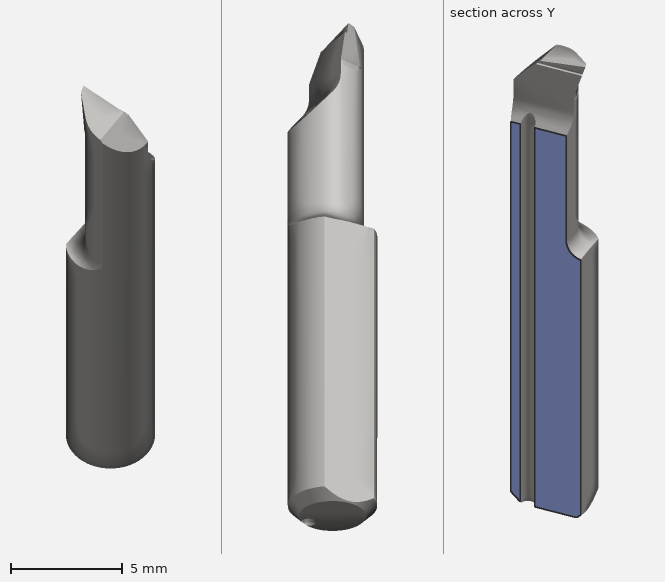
import cadquery as cq
import math

total_length = 24
shank_diameter = 4.0
shank_radius = shank_diameter / 2
flat_offset = 1.55
bottom_chamfer = 0.5

neck_radius = 1.8
neck_x = 0.82
shoulder_z = 14.0
shoulder_fillet = 0.82

bore_diameter = 0.7
bore_x = 1.05
bore_y = 0.65

face_y = 0.108
clearance_foot_z = 19.15
clearance_angle = math.radians(40)
clearance_radius = 1.55

tip_x = -1.5
rake_y = -0.012
rake_floor_z = 23.57
head_bottom_z = 22.4
groove_bottom_z = 22.1
flank_foot_x = -0.95
flank_relief = 0.25
side_angle = math.radians(45)
ridge_x = 0.75
ridge_z = 23.7
end_chamfer_z = 22.42
top_relief = 0.12

margin = 4.8


def make_shank():
    bar = cq.Workplane("XY").circle(shank_radius).extrude(total_length)
    bar = bar.faces("<Z").chamfer(bottom_chamfer)
    beyond_flat = cq.Workplane("XY").box(margin, 2 * margin, 2 * total_length)
    return bar.cut(beyond_flat.translate((-flat_offset - margin / 2, 0, 0)))


def make_head_envelope():
    """Neck with a filleted foot, plus a head wall tangent to it and reaching the tip."""
    neck_top = total_length + margin
    flare_radius = neck_radius + shoulder_fillet
    arc_offset = shoulder_fillet * (1 - math.sqrt(0.5))
    neck = (
        cq.Workplane("XZ")
        .moveTo(0, 0)
        .lineTo(margin, 0)
        .lineTo(margin, shoulder_z)
        .lineTo(flare_radius, shoulder_z)
        .threePointArc(
            (neck_radius + arc_offset, shoulder_z + arc_offset),
            (neck_radius, shoulder_z + shoulder_fillet),
        )
        .lineTo(neck_radius, neck_top)
        .lineTo(0, neck_top)
        .close()
        .revolve(360, (0, 0, 0), (0, 1, 0))
        .translate((neck_x, 0, 0))
    )
    tangent_x = neck_x - neck_radius * math.cos(side_angle)
    tangent_y = -neck_radius * math.sin(side_angle)
    wall_length = (face_y - tangent_y) / math.cos(side_angle)
    wall = (
        cq.Workplane("XY", origin=(0, 0, head_bottom_z))
        .moveTo(tangent_x, tangent_y)
        .lineTo(tangent_x - wall_length * math.sin(side_angle), face_y)
        .lineTo(neck_x, face_y)
        .lineTo(neck_x, tangent_y)
        .close()
        .extrude(neck_top - head_bottom_z)
    )
    return neck.union(wall)


def make_flank_cutter():
    """Leaning flank below the tip, with a shallow groove where it runs into the neck."""
    lean = (flank_foot_x - tip_x) / (total_length - head_bottom_z)
    above_tip = 0.48
    neck_side = neck_x - neck_radius
    profile = [
        (-margin, groove_bottom_z),
        (neck_side, groove_bottom_z),
        (flank_foot_x, head_bottom_z),
        (tip_x - lean * above_tip, total_length + above_tip),
        (-margin, total_length + above_tip),
    ]
    shift = flank_relief * margin
    run = cq.Vector(-2 * shift, 2 * margin, 0)
    corners = [cq.Vector(x + shift, -margin, z) for x, z in profile]
    outline = cq.Wire.makePolygon(corners, close=True)
    return cq.Workplane(obj=cq.Solid.extrudeLinear(outline, [], run))


def make_top_cutter():
    """Space above the two top facets, both falling away toward -Y."""
    outline = cq.Wire.makePolygon(
        [
            cq.Vector(x, margin, z + top_relief * (margin - rake_y))
            for x, z in (
                (tip_x, total_length),
                (ridge_x, ridge_z),
                (shank_radius, end_chamfer_z),
                (margin, end_chamfer_z - (margin - shank_radius)),
                (margin, total_length + margin),
                (-margin, total_length + margin),
                (-margin, total_length),
            )
        ],
        close=True,
    )
    run = cq.Vector(0, -2 * margin, -2 * top_relief * margin)
    return cq.Workplane(obj=cq.Solid.extrudeLinear(outline, [], run))


def make_chip_clearance():
    """Space behind the cutting face: a vertical wall, an arc and a sloping run-out."""
    arc_end_y = face_y + clearance_radius * (1 - math.cos(clearance_angle))
    arc_end_z = clearance_foot_z + (neck_radius - arc_end_y) / math.tan(clearance_angle)
    arc_start_z = arc_end_z + clearance_radius * math.sin(clearance_angle)
    arc_mid_y = face_y + clearance_radius * (1 - math.cos(clearance_angle / 2))
    arc_mid_z = arc_start_z - clearance_radius * math.sin(clearance_angle / 2)
    outer_z = clearance_foot_z - (margin - neck_radius) / math.tan(clearance_angle)
    return (
        cq.Workplane("YZ")
        .moveTo(face_y, total_length + margin)
        .lineTo(face_y, arc_start_z)
        .threePointArc((arc_mid_y, arc_mid_z), (arc_end_y, arc_end_z))
        .lineTo(margin, outer_z)
        .lineTo(margin, total_length + margin)
        .close()
        .extrude(margin, both=True)
    )


def make_rake_recess():
    """Shallow step along the cutting edge that forms the rake face."""
    space = cq.Workplane("XY").box(2 * margin, margin, margin, centered=(True, False, False))
    return space.translate((0, rake_y, rake_floor_z))


bore = cq.Workplane("XY").center(bore_x, bore_y).circle(bore_diameter / 2).extrude(total_length)

result = (
    make_shank()
    .intersect(make_head_envelope())
    .cut(make_flank_cutter())
    .cut(make_top_cutter())
    .cut(make_chip_clearance())
    .cut(make_rake_recess())
    .cut(bore)
)